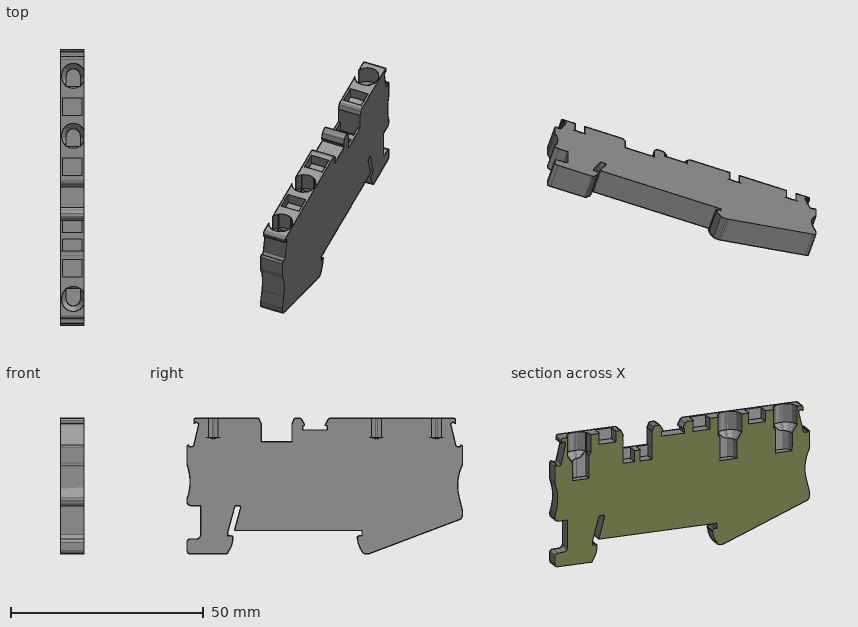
import cadquery as cq
import math


THICKNESS = 6.15
LENGTH = 71.5
HEIGHT = 35.25
HALF_LENGTH = LENGTH / 2

SHARP = 0
SMALL_ROUND = 0.1
SLOT_ROUND = 0.4
FOOT_EDGE_ROUND = 0.9
NOTCH_ROUND = 1.1

HOOK_Y = HALF_LENGTH - 1.8
HOOK_ROUND = 0.65
HOOK_TIP_Z = HEIGHT - 1.4
HOOK_UNDERSIDE_Z = HOOK_TIP_Z + 0.25
HOOK_ROOT_Y = 32.65
HOOK_ROOT_Z = 33.9
SHOULDER_Z = 28.25
SHOULDER_ROUND = 0.5
SHOULDER_GROOVE_Z = SHOULDER_Z - 0.4
SHOULDER_GROOVE_Y = 34.05
SHOULDER_GROOVE_ROUND = 0.45

RECESS_TOP_Z = 23.25
RECESS_EDGE_ROUND = 1.8
RECESS_APEX_Z = 18.7
REAR_RECESS_RADIUS = 12.0
REAR_RECESS_APEX_Y = HALF_LENGTH - 1.85
REAR_RECESS_BOTTOM_Z = 11.2
FRONT_RECESS_RADIUS = 13.0
FRONT_RECESS_APEX_Y = -HALF_LENGTH + 1.5
FRONT_RECESS_BOTTOM_Z = 14.2

MARKER_CENTER_Y = -2.55
MARKER_HALF_WIDTH = 3.15
MARKER_LIP_HALF_GAP = 2.65
MARKER_MOUTH_HALF_WIDTH = 3.6
MARKER_MOUTH_ROUND = 1.0
MARKER_FLOOR_Z = 32.15
MARKER_LIP_Z = MARKER_FLOOR_Z + 1.1
MARKER_LIP_THICKNESS = 0.25

SHAFT_FLOOR_Z = 29.15
SHAFT_BACK_Y = -8.5
SHAFT_FRONT_Y = -16.45
LEAD_IN_Z = 33.75
LEAD_IN_WIDTH = 0.65
LEAD_IN_ROUND = 0.55

RAIL_SEAT_Z = 6.05
CLAW_TOP_Z = 4.75
CLAW_ROUND = 6.0
FIXED_CLAW_ROOT_Y = 9.65
FIXED_CLAW_FACE_Y = 8.5
FIXED_CLAW_NIB_Y = FIXED_CLAW_FACE_Y - 0.2
SPRUNG_CLAW_ROOT_Y = -25.1
SPRUNG_CLAW_FACE_Y = -23.8
SLOPE_TOP_Z = 9.2
NOTCH_Y = -32.2
NOTCH_TOP_Z = 12.5
RELEASE_TAB_Z = 3.9

POCKET_SIDE_Y = 4.55
POCKET_SIDE_X = 4.95
POCKET_DEPTH = 3.0
FUNNEL_OFFSET = 8.0
STATIONS = [(20.95, 1), (5.4, 1), (-20.9, -1)]

FUNNEL_X = 0.26
FUNNEL_WIDTH = 6.0
FUNNEL_LENGTH = 6.45
FUNNEL_STRAIGHT_DEPTH = 5.0
FUNNEL_TAPER_DEPTH = 2.5
FUNNEL_BOTTOM_WIDTH = 2.8
PASSAGE_DEPTH = 12.0
PASSAGE_WIDTH = 3.65
PASSAGE_REACH = 2.75

BACK_SHAFT_POCKET_Y = -11.7
FRONT_SHAFT_POCKET_Y = -13.4


def end_corners(side):
    """Corners (y, z, radius) of one upper end, from the top edge down to the finger recess."""
    corners = [
        (HOOK_Y, HEIGHT, HOOK_ROUND),
        (HOOK_Y, HOOK_TIP_Z, SMALL_ROUND),
        (HOOK_Y - 0.25, HOOK_TIP_Z, SHARP),
        (HOOK_Y - 0.35, HOOK_UNDERSIDE_Z, SHARP),
        (HOOK_Y - 0.7, HOOK_UNDERSIDE_Z, SHARP),
        (HOOK_ROOT_Y, HOOK_ROOT_Z, SLOT_ROUND),
        (SHOULDER_GROOVE_Y, SHOULDER_GROOVE_Z, SHOULDER_GROOVE_ROUND),
        (HALF_LENGTH - 0.6, SHOULDER_GROOVE_Z, SHARP),
        (HALF_LENGTH - 0.55, SHOULDER_Z, SHARP),
        (HALF_LENGTH, SHOULDER_Z, SHOULDER_ROUND),
        (HALF_LENGTH, RECESS_TOP_Z, RECESS_EDGE_ROUND),
    ]
    return [(side * y, z, radius) for y, z, radius in corners]


def rear_corners():
    """Rear recess, sloped underside and fixed rail claw."""
    return [
        (REAR_RECESS_APEX_Y, RECESS_APEX_Z, REAR_RECESS_RADIUS),
        (HALF_LENGTH, REAR_RECESS_BOTTOM_Z, 2.0),
        (HALF_LENGTH, SLOPE_TOP_Z, 1.4),
        (11.4, 0, 1.5),
        (10.15, 0, 0.8),
        (FIXED_CLAW_FACE_Y, 2.3, CLAW_ROUND),
        (FIXED_CLAW_FACE_Y, 3.95, SHARP),
        (FIXED_CLAW_NIB_Y, 4.05, SHARP),
        (FIXED_CLAW_NIB_Y, 4.4, SMALL_ROUND),
        (8.9, CLAW_TOP_Z, SHARP),
        (FIXED_CLAW_ROOT_Y, CLAW_TOP_Z, SHARP),
        (FIXED_CLAW_ROOT_Y, RAIL_SEAT_Z, SHARP),
    ]


def front_corners():
    """Spring slot, sprung rail claw, release tab with its notch, and front recess."""
    return [
        (-23.45, RAIL_SEAT_Z, 0.25),
        (-21.7, NOTCH_TOP_Z, SLOT_ROUND),
        (-23.25, NOTCH_TOP_Z, SLOT_ROUND),
        (SPRUNG_CLAW_ROOT_Y, 5.7, 0.5),
        (SPRUNG_CLAW_ROOT_Y, CLAW_TOP_Z, SHARP),
        (-24.3, CLAW_TOP_Z, SHARP),
        (SPRUNG_CLAW_FACE_Y, 4.55, SMALL_ROUND),
        (SPRUNG_CLAW_FACE_Y, 2.6, CLAW_ROUND),
        (-25.3, 0, SLOT_ROUND),
        (-HALF_LENGTH, 0, FOOT_EDGE_ROUND),
        (-HALF_LENGTH, RELEASE_TAB_Z, FOOT_EDGE_ROUND),
        (NOTCH_Y, RELEASE_TAB_Z, NOTCH_ROUND),
        (NOTCH_Y, NOTCH_TOP_Z, SMALL_ROUND),
        (-HALF_LENGTH, NOTCH_TOP_Z, NOTCH_ROUND),
        (-HALF_LENGTH, FRONT_RECESS_BOTTOM_Z, RECESS_EDGE_ROUND),
        (FRONT_RECESS_APEX_Y, RECESS_APEX_Z, FRONT_RECESS_RADIUS),
    ]


def shaft_corners():
    """Bridge shaft, from its front edge to its back edge."""
    return [
        (SHAFT_FRONT_Y - LEAD_IN_WIDTH, HEIGHT, LEAD_IN_ROUND),
        (SHAFT_FRONT_Y, LEAD_IN_Z, SHARP),
        (SHAFT_FRONT_Y, SHAFT_FLOOR_Z, SHARP),
        (SHAFT_BACK_Y, SHAFT_FLOOR_Z, SHARP),
        (SHAFT_BACK_Y, LEAD_IN_Z, SHARP),
        (SHAFT_BACK_Y + LEAD_IN_WIDTH, HEIGHT, LEAD_IN_ROUND),
    ]


def marker_groove_side(side):
    """One side of the marker groove, from the top edge down to the floor."""
    lip_top_z = MARKER_LIP_Z + MARKER_LIP_THICKNESS
    corners = [
        (MARKER_MOUTH_HALF_WIDTH, HEIGHT, MARKER_MOUTH_ROUND),
        (MARKER_LIP_HALF_GAP, lip_top_z, SHARP),
        (MARKER_LIP_HALF_GAP, MARKER_LIP_Z, SHARP),
        (MARKER_HALF_WIDTH, MARKER_LIP_Z, SHARP),
        (MARKER_HALF_WIDTH, MARKER_FLOOR_Z, SHARP),
    ]
    return [(MARKER_CENTER_Y + side * y, z, radius) for y, z, radius in corners]


def outline_corners():
    """Corners (y, z, radius) once around the housing, starting at the +Y end of the top."""
    return (
        end_corners(1)
        + rear_corners()
        + front_corners()
        + end_corners(-1)[::-1]
        + shaft_corners()
        + marker_groove_side(-1)
        + marker_groove_side(1)[::-1]
    )


def corner_round(before, corner, after):
    """Start, middle and end of the arc that rounds a corner."""
    y, z, radius = corner
    angle_in = math.atan2(before[1] - z, before[0] - y)
    angle_out = math.atan2(after[1] - z, after[0] - y)
    opening = math.remainder(angle_out - angle_in, 2 * math.pi)
    half_angle = abs(opening) / 2
    tangent_length = radius / math.tan(half_angle)
    middle_distance = radius / math.sin(half_angle) - radius

    def along(angle, distance):
        return (y + distance * math.cos(angle), z + distance * math.sin(angle))

    return (
        along(angle_in, tangent_length),
        along(angle_in + opening / 2, middle_distance),
        along(angle_out, tangent_length),
    )


def housing():
    """Outline extruded along X over the full thickness."""
    corners = outline_corners()
    start = corner_round(corners[-2], corners[-1], corners[0])[2]
    path = cq.Workplane("YZ", origin=(-THICKNESS / 2, 0, 0)).moveTo(*start)
    for index, corner in enumerate(corners):
        y, z, radius = corner
        if radius == SHARP:
            path = path.lineTo(y, z)
        else:
            after = corners[(index + 1) % len(corners)]
            arc_start, arc_middle, arc_end = corner_round(corners[index - 1], corner, after)
            path = path.lineTo(*arc_start).threePointArc(arc_middle, arc_end)
    return path.close().extrude(THICKNESS)


def box_pocket(y_low, y_high, top_z):
    """Cutter for a rectangular pocket sunk from a level surface."""
    return (
        cq.Workplane("XY", origin=(0, (y_low + y_high) / 2, top_z))
        .rect(POCKET_SIDE_X, y_high - y_low)
        .extrude(-POCKET_DEPTH)
    )


def funnel(y, side):
    """Cutter for a wire funnel; side is the direction along Y away from its test pocket."""
    narrowing = (FUNNEL_WIDTH - FUNNEL_BOTTOM_WIDTH) / 2
    taper = math.degrees(math.atan(narrowing / FUNNEL_TAPER_DEPTH))
    top = cq.Workplane("XY", origin=(FUNNEL_X, y, HEIGHT))
    mouth = top.slot2D(FUNNEL_LENGTH, FUNNEL_WIDTH, 90).extrude(-FUNNEL_STRAIGHT_DEPTH)
    throat = (
        top.workplane(offset=-FUNNEL_STRAIGHT_DEPTH)
        .slot2D(FUNNEL_LENGTH, FUNNEL_WIDTH, 90)
        .extrude(-FUNNEL_TAPER_DEPTH, taper=taper)
    )
    round_end = top.circle(PASSAGE_WIDTH / 2).extrude(-PASSAGE_DEPTH)
    square_end = (
        top.center(0, -side * PASSAGE_REACH / 2)
        .rect(PASSAGE_WIDTH, PASSAGE_REACH)
        .extrude(-PASSAGE_DEPTH)
    )
    return mouth.union(throat).union(round_end).union(square_end)


result = housing()
for pocket_y, funnel_side in STATIONS:
    half_pocket = POCKET_SIDE_Y / 2
    result = result.cut(box_pocket(pocket_y - half_pocket, pocket_y + half_pocket, HEIGHT))
    result = result.cut(funnel(pocket_y + funnel_side * FUNNEL_OFFSET, funnel_side))
result = result.cut(box_pocket(BACK_SHAFT_POCKET_Y, SHAFT_BACK_Y, SHAFT_FLOOR_Z))
result = result.cut(box_pocket(SHAFT_FRONT_Y, FRONT_SHAFT_POCKET_Y, SHAFT_FLOOR_Z))